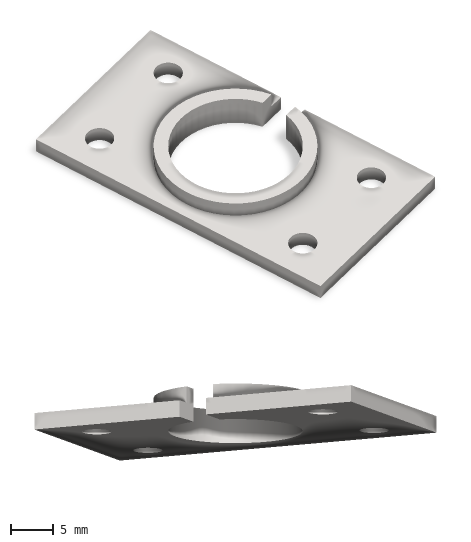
import cadquery as cq

plate_length = 42.0
plate_width = 23.0
total_height = 4.0
plate_thickness = total_height / 2

collar_diameter = 19.5
bore_diameter = 16.0

slot_width = 3.5

hole_diameter = 3.5
hole_spacing_x = 30.0
hole_spacing_y = 13.78

plate = cq.Workplane("XY").box(
    plate_length, plate_width, plate_thickness, centered=(True, True, False)
)
collar = cq.Workplane("XY").circle(collar_diameter / 2).extrude(total_height)
bore = cq.Workplane("XY").circle(bore_diameter / 2).extrude(total_height)

slot = cq.Workplane("XY").box(
    slot_width, plate_width / 2, total_height, centered=(True, False, False)
)

mounting_holes = (
    cq.Workplane("XY")
    .rarray(hole_spacing_x, hole_spacing_y, 2, 2)
    .circle(hole_diameter / 2)
    .extrude(plate_thickness)
)

result = plate.union(collar).cut(bore).cut(slot).cut(mounting_holes)